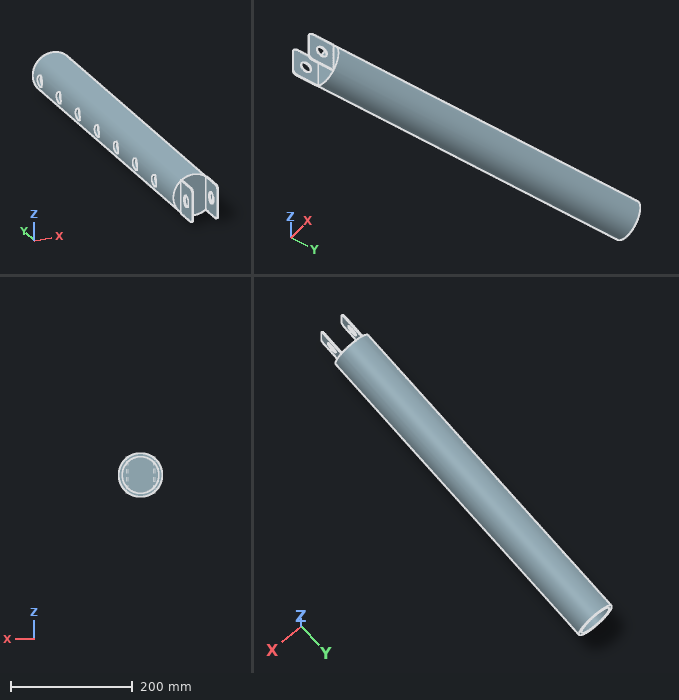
import cadquery as cq

total_length = 662.5
tube_diameter = 72.0
bore_diameter = 60.0
hole_diameter = 20.0

lug_length = 50.5
lug_height = 59.0
lug_thickness = 2.0
lug_gap = 42.5
lug_corner_radius = 8.0
lug_hole_to_tip = 26.5

cap_thickness = 4.0

side_hole_count = 7
side_hole_pitch = 83.0
first_hole_to_open_end = 30.5

open_end_y = total_length / 2
lug_tip_y = -total_length / 2
tube_end_y = lug_tip_y + lug_length


def cylinder_along_y(diameter, start_y, end_y):
    plane = cq.Workplane("XZ", origin=(0, start_y, 0))
    return plane.circle(diameter / 2).extrude(start_y - end_y)


def lug(inner_x):
    """Plate with rounded tip corners and a pin hole, starting at inner_x."""
    plate = cq.Workplane("XY").box(lug_thickness, lug_length, lug_height, centered=(False, False, True))
    plate = plate.edges("<Y and |X").fillet(lug_corner_radius)
    pin_hole = (
        cq.Workplane("YZ")
        .center(lug_hole_to_tip, 0)
        .circle(hole_diameter / 2)
        .extrude(lug_thickness)
    )
    return plate.cut(pin_hole).translate((inner_x, lug_tip_y, 0))


def side_holes():
    """Cutters reaching from the tube axis out through the -X wall only."""
    last_y = open_end_y - first_hole_to_open_end
    centres = [(last_y - i * side_hole_pitch, 0) for i in range(side_hole_count)]
    return cq.Workplane("YZ").pushPoints(centres).circle(hole_diameter / 2).extrude(-tube_diameter)


tube = cylinder_along_y(tube_diameter, tube_end_y, open_end_y)
bore = cylinder_along_y(bore_diameter, tube_end_y, open_end_y)
cap = cylinder_along_y(bore_diameter, tube_end_y, tube_end_y + cap_thickness)
body = tube.cut(bore).union(cap).cut(side_holes())

left_lug = lug(-lug_gap / 2 - lug_thickness)
right_lug = lug(lug_gap / 2)
result = body.union(left_lug).union(right_lug)